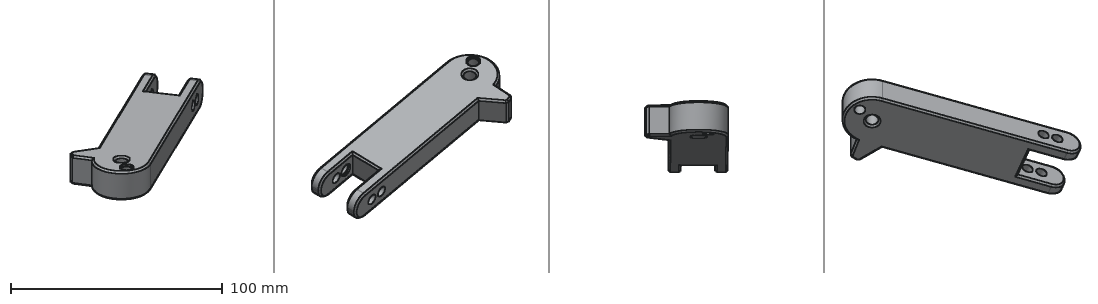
import cadquery as cq
import math

overall_length = 107.1
arm_angle = 150.0
tilt = math.radians(180 - arm_angle)
pivot_radius = 14.0
arm_width = 2 * pivot_radius
thickness = 15.0
edge_chamfer = 1.0
end_radius = 7.0

corner_offset = pivot_radius - edge_chamfer
arm_length = (overall_length - pivot_radius - corner_offset * math.sin(tilt)) / math.cos(tilt)

slot_width = 16.1
slot_floor = 76.0
slot_depth = arm_length - slot_floor

tooth_front_root_x = 10.1
tooth_back_root_x = -2.8
tooth_front_tip_x = 2.4
tooth_back_tip_x = -2.4
tooth_front_reach = 25.7
tooth_back_reach = 24.3

pivot_hole_diameter = 6.0
pin_diameter = 5.2
recess_diameter = 6.6
recess_depth = 1.0
link_hole_distance = 9.0
inner_fork_hole_x = 81.0
fork_hole_spacing = 7.0
outer_fork_hole_x = inner_fork_hole_x + fork_hole_spacing


def centered_plate(outline):
    """Extrude a closed outline equally to both sides of the XY plane."""
    return outline.extrude(thickness / 2, both=True)


def make_arm():
    outline = (
        cq.Workplane("XY")
        .moveTo(0, -pivot_radius)
        .lineTo(arm_length, -pivot_radius)
        .lineTo(arm_length, pivot_radius)
        .lineTo(0, pivot_radius)
        .threePointArc((-pivot_radius, 0), (0, -pivot_radius))
        .close()
    )
    return centered_plate(outline).edges("|Y").fillet(end_radius)


def make_tooth():
    """Tapered tooth whose slanted tip has bevelled corners."""
    outline = cq.Workplane("XY").polyline([
        (tooth_back_root_x, 0),
        (tooth_front_root_x, 0),
        (tooth_front_root_x, pivot_radius),
        (tooth_front_tip_x, tooth_front_reach),
        (tooth_back_tip_x, tooth_back_reach),
        (tooth_back_root_x, pivot_radius),
    ]).close()
    beyond_arm = cq.selectors.BoxSelector(
        (-arm_width, pivot_radius + edge_chamfer, -thickness),
        (arm_width, 2 * arm_width, thickness),
    )
    tip_corners = centered_plate(outline).edges("|Z").edges(beyond_arm)
    return tip_corners.chamfer(edge_chamfer)


def make_fork_slot():
    return cq.Workplane("XY").box(
        2 * slot_depth, slot_width, thickness, centered=(False, True, True)
    ).translate((slot_floor, 0, 0))


def cylinder_y(x, diameter, start, length):
    return cq.Workplane("XZ", origin=(x, start, 0)).circle(diameter / 2).extrude(-length)


def chamfer_outline(body):
    """Bevel the rims of both broad faces, including the rounded fork ends."""
    smooth_seams = cq.selectors.BoxSelector(
        (arm_length - end_radius - edge_chamfer, -arm_width, -thickness),
        (arm_length, arm_width, thickness),
    )
    rims = cq.selectors.InverseSelector(smooth_seams)
    return body.faces("<Z or >Z").edges(rims).chamfer(edge_chamfer)


def cut_pivot_holes(body):
    """Through holes: the pivot, bevelled at both faces, and the link pin with its recess."""
    top = body.faces(">Z").workplane(origin=(0, 0, 0))
    body = top.hole(pivot_hole_diameter)
    pivot_rims = cq.selectors.BoxSelector(
        (-edge_chamfer, -edge_chamfer, -thickness),
        (edge_chamfer, edge_chamfer, thickness),
    )
    body = body.edges("%CIRCLE").edges(pivot_rims).chamfer(edge_chamfer)
    link_x = -link_hole_distance * math.cos(tilt)
    link_y = -link_hole_distance * math.sin(tilt)
    top = body.faces(">Z").workplane(origin=(link_x, link_y, 0))
    return top.cboreHole(pin_diameter, recess_diameter, recess_depth)


def cut_fork_holes(body):
    """Two pin holes through both prongs, the inner one recessed inside one prong."""
    for x in (inner_fork_hole_x, outer_fork_hole_x):
        body = body.cut(cylinder_y(x, pin_diameter, -pivot_radius, arm_width))
    recess_start = -slot_width / 2 - recess_depth
    return body.cut(cylinder_y(inner_fork_hole_x, recess_diameter, recess_start, recess_depth))


body = make_arm().union(make_tooth()).cut(make_fork_slot())
body = chamfer_outline(body)
body = cut_pivot_holes(body)
body = cut_fork_holes(body)
result = body.rotate((0, 0, 0), (0, 0, 1), arm_angle)